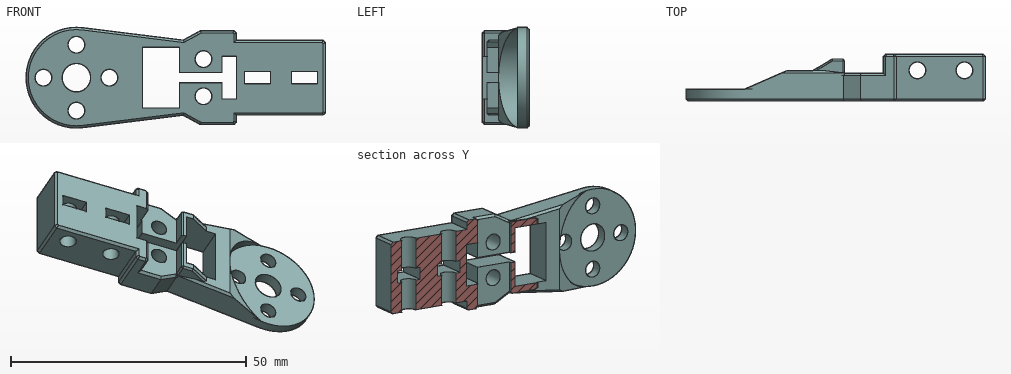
import cadquery as cq
import math

total_length = 63.75
disc_diameter = 21.5
disc_radius = disc_diameter / 2
end_x = total_length - disc_radius
edge_chamfer = 0.5
lug_chamfer = 0.4

disc_depth = 2.55
arm_depth = 6.5
wrist_depth = 6.0
lug_depth = 9.0
block_depth = 10.0

notch_half_width = 8.05
lug_half_width = 8.0
block_half_width = 8.0
shoulder_half_width = 10.0

lug_slope_start_x = 16.2
lug_slope_end_x = 20.4
notch_x = 22.75
arm_end_x = 23.0
shoulder_start_x = 26.4
block_start_x = 31.25
shoulder_end_x = 34.05

ramp_start_x = 1.65
ramp_end_x = 10.7

screw_diameter = 3.5
hub_diameter = 6.0
bolt_circle_radius = 7.0
clamp_hole_x = 27.0
clamp_hole_z = 3.95
window_start_x = 14.1
window_end_x = 21.9
window_half_width = 6.45
slit_width = 2.1
cross_slot_start_x = 31.0
cross_slot_half_width = 4.5
nut_slot_length = 5.5
nut_slot_width = 2.55
cross_hole_depth = 6.55
cross_hole_xs = (38.5, 48.5)


def front_plane(depth=0.0):
    """Sketch plane with X right and Z up, whose extrusions run along +Y."""
    return cq.Workplane(cq.Plane(origin=(0, depth, 0), xDir=(1, 0, 0), normal=(0, -1, 0)))


def mirrored_prism(upper_points, depth):
    """Prism over an outline given by its upper half, from left to right."""
    lower_points = [(x, -z) for x, z in reversed(upper_points)]
    return front_plane().polyline(upper_points + lower_points).close().extrude(-depth)


def through_box(start_x, end_x, half_width):
    return mirrored_prism([(start_x, half_width), (end_x, half_width)], block_depth)


def through_holes(centres, diameter):
    return front_plane().pushPoints(centres).circle(diameter / 2).extrude(-block_depth)


def make_arm():
    """Disc with straight sides that run tangentially from it to the lug end.

    The arm ramps up behind the disc, and a round clearance over the disc cuts into the ramp.
    """
    end_distance = math.hypot(arm_end_x, lug_half_width)
    tangent_angle = math.atan2(lug_half_width, arm_end_x) + math.acos(disc_radius / end_distance)
    tangent_x = disc_radius * math.cos(tangent_angle)
    tangent_z = disc_radius * math.sin(tangent_angle)
    arm = (
        front_plane()
        .moveTo(arm_end_x, lug_half_width)
        .lineTo(tangent_x, tangent_z)
        .threePointArc((-disc_radius, 0), (tangent_x, -tangent_z))
        .lineTo(arm_end_x, -lug_half_width)
        .close()
        .extrude(-arm_depth)
        .faces(">Y").edges().chamfer(edge_chamfer)
    )
    clearance = front_plane(disc_depth).circle(disc_radius).extrude(disc_depth - arm_depth)
    above_ramp = [
        (-disc_radius, disc_depth),
        (ramp_start_x, disc_depth),
        (ramp_end_x, arm_depth),
        (-disc_radius, arm_depth),
    ]
    ramp_cut = cq.Workplane("XY").polyline(above_ramp).close().extrude(disc_radius, both=True)
    return arm.cut(clearance).cut(ramp_cut)


def make_wrist():
    """Widening piece between arm and block; both its ends are buried in them."""
    buried_start_x = window_end_x
    buried_end_x = (block_start_x + shoulder_end_x) / 2
    upper_points = [
        (buried_start_x, notch_half_width),
        (notch_x, notch_half_width),
        (shoulder_start_x, shoulder_half_width),
        (buried_end_x, shoulder_half_width),
    ]
    return mirrored_prism(upper_points, wrist_depth).faces(">Y").edges().chamfer(edge_chamfer)


def make_block():
    """Deep rear block with a wider shoulder, chamfered on its corners and back rim."""
    upper_points = [
        (block_start_x, shoulder_half_width),
        (shoulder_end_x, shoulder_half_width),
        (shoulder_end_x, block_half_width),
        (end_x, block_half_width),
    ]
    block = mirrored_prism(upper_points, block_depth)
    shoulder_corners = block.faces(">Z or <Z").edges("|Y")
    end_corners = block.faces(">X").edges("|Y")
    block = block.newObject(shoulder_corners.vals() + end_corners.vals()).chamfer(edge_chamfer)
    return block.faces(">Y").edges().chamfer(edge_chamfer)


def make_lug():
    """Ramped lug on the back of the arm, rooted inside it."""
    root_depth = disc_depth
    profile = [
        (lug_slope_start_x, root_depth),
        (lug_slope_start_x, arm_depth),
        (lug_slope_end_x, lug_depth),
        (arm_end_x, lug_depth),
        (arm_end_x, root_depth),
    ]
    lug = cq.Workplane("XY").polyline(profile).close().extrude(lug_half_width, both=True)
    return lug.faces(">Z or <Z or >X").edges().chamfer(lug_chamfer)


body = make_arm().union(make_wrist()).union(make_block()).union(make_lug()).clean()
body = body.faces("<Y").edges().chamfer(edge_chamfer)

body = body.cut(through_box(window_start_x, window_end_x, window_half_width))
body = body.cut(through_box(window_end_x, cross_slot_start_x, slit_width / 2))
body = body.cut(through_box(cross_slot_start_x, shoulder_end_x, cross_slot_half_width))

screw_centres = [
    (bolt_circle_radius, 0),
    (0, bolt_circle_radius),
    (-bolt_circle_radius, 0),
    (0, -bolt_circle_radius),
    (clamp_hole_x, clamp_hole_z),
    (clamp_hole_x, -clamp_hole_z),
]
body = body.cut(through_holes([(0, 0)], hub_diameter))
body = body.cut(through_holes(screw_centres, screw_diameter))

for hole_x in cross_hole_xs:
    slot_start_x = hole_x - nut_slot_length / 2
    body = body.cut(through_box(slot_start_x, slot_start_x + nut_slot_length, nut_slot_width / 2))
    cross_hole = (
        cq.Workplane("XY")
        .center(hole_x, cross_hole_depth)
        .circle(screw_diameter / 2)
        .extrude(shoulder_half_width, both=True)
    )
    body = body.cut(cross_hole)

result = body